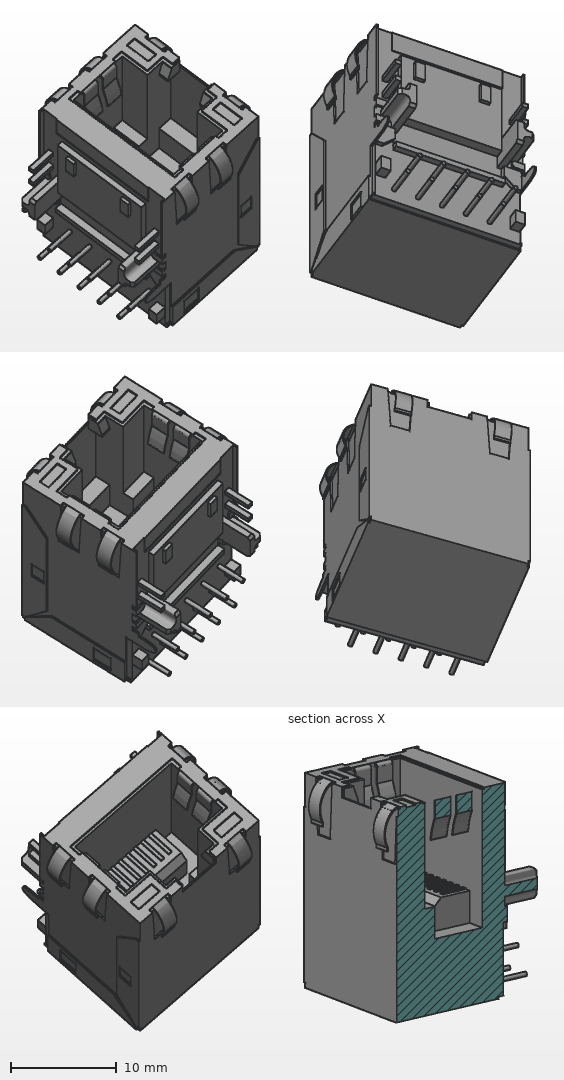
import cadquery as cq
import math

HEIGHT = 21.37
SHEET = 0.2
WING_SHEET = 0.17
SIDE = 7.9
BACK = 13.53
CORE_SIDE = SIDE - SHEET
FACE = 0.45
LOWER_FACE = 0.62
LOWER_FACE_TOP = 8.55
CROSS_BAR_Z = 6.7
CROSS_BAR_HALF = 5.81
RECESS_Z = 7.33
PANEL_Z = 10.55
PANEL_FACE = -0.17
STANDOFF_Y = -0.53
SKIRT_FRONT = 1.25
SKIRT_TOP = 6.88
PIN_TIP = -2.35
POST_TIP = -3.42

CAVITY_HALF = 6.41
CAVITY_FRONT = 3.25
SHOULDER_Y = 10.09
KEYWAY_HALF = 3.18
LATCH_HALF = 2.03
LATCH_RIM_HALF = 2.22
LATCH_LEDGE_Y = 11.71
NIB_Y = 12.22
CAVITY_BACK = BACK - WING_SHEET
FLOOR_Z = 7.48
LEDGE_Z = 10.68
RIM_DEPTH = 0.17

SPRING_WIDTH = 1.67
SPRING_BULGE = 1.18
SPRING_THICK = 0.13
SIDE_SPRING_YS = (7.8, 3.0)
BACK_SPRING_X = 4.98
SPRING_NOTCH_DEPTH = 0.45
SPRING_NOTCH_HALF = 1.25
WINDOW_FOOT_HALF = 0.96
WINDOW_FOOT_Z = 15.7

PIN_PITCH = 2.55
PIN_RADIUS = 0.24
PINS_PER_ROW = 5


def box(x, y, z):
    """Box from its (low, high) limits along each axis."""
    size = (x[1] - x[0], y[1] - y[0], z[1] - z[0])
    return cq.Workplane("XY").box(*size, centered=False).translate((x[0], y[0], z[0]))


def both_sides(shape):
    """The shape together with its mirror image across X = 0."""
    return shape.union(shape.mirror("YZ"))


def prism_x(points, x):
    """(Y, Z) outline swept between two X positions."""
    return cq.Workplane("YZ").polyline(points).close().extrude(x[1] - x[0]).translate((x[0], 0, 0))


def prism_y(points, y):
    """(X, Z) outline swept between two Y positions."""
    return cq.Workplane("XZ").polyline(points).close().extrude(y[0] - y[1]).translate((0, y[0], 0))


def plastic_body():
    body = box((-CORE_SIDE, CORE_SIDE), (FACE, CAVITY_BACK), (SHEET, HEIGHT))
    step = box((-CORE_SIDE, CORE_SIDE), (FACE, LOWER_FACE), (SHEET, LOWER_FACE_TOP))
    return body.cut(step)


def shield_side():
    """Side wall with folded-tab gaps and a solder spike on its front edge."""
    gap_top = 12.5
    spike_root_z = 8.63
    spike_root_y = -0.25
    spike_top = 8.2
    return (
        cq.Workplane("YZ")
        .moveTo(BACK, 0)
        .lineTo(BACK, HEIGHT)
        .lineTo(0, HEIGHT)
        .lineTo(0, gap_top)
        .lineTo(FACE, gap_top)
        .lineTo(FACE, spike_root_z)
        .lineTo(spike_root_y, spike_root_z)
        .lineTo(spike_root_y, spike_top)
        .lineTo(-1.1, spike_top)
        .lineTo(-1.97, 8.05)
        .threePointArc((PIN_TIP, 7.59), (-2.1, 7.1))
        .lineTo(-1.25, SKIRT_TOP)
        .lineTo(SKIRT_FRONT, SKIRT_TOP)
        .lineTo(SKIRT_FRONT, 0)
        .close()
        .extrude(SHEET)
        .translate((CORE_SIDE, 0, 0))
    )


def front_tab(z):
    """Round-ended shield tab folded in front of the plastic body."""
    tab_end = 6.55
    end_radius = 0.32
    tab = box((tab_end, SIDE), (0, SHEET), z)
    wall = box((CORE_SIDE, SIDE), (0, FACE), z)
    return wall.union(tab.edges("|Y and <X").fillet(end_radius))


def shield_wings():
    """Flaps folded from the back and bottom plates onto the side wall."""
    x = (SIDE, SIDE + WING_SHEET)
    corner_y = BACK - 0.36
    corner_z = 0.51
    back_wing_y = 10.58
    back_wing_top = 17.95
    bottom_wing_z = 3.05
    back_wing = prism_x(
        [(BACK, corner_z), (BACK, back_wing_top), (corner_y, back_wing_top), (back_wing_y, 14.98),
         (back_wing_y, 3.5), (corner_y, corner_z)], x)
    bottom_wing = prism_x(
        [(corner_y, 0), (corner_y, 0.45), (10.05, bottom_wing_z), (SKIRT_FRONT, bottom_wing_z),
         (SKIRT_FRONT, 0)], x)
    back_window = box(x, (10.88, 12.42), (7.65, 9.5))
    bottom_window = box(x, (2.88, 5.0), (0.43, 2.29))
    return back_wing.cut(back_window).union(bottom_wing).cut(bottom_window)


def shield():
    latch_gap = box((-LATCH_RIM_HALF, LATCH_RIM_HALF), (CAVITY_BACK, BACK), (20.3, HEIGHT))
    back = box((-SIDE, SIDE), (CAVITY_BACK, BACK), (0, HEIGHT)).cut(latch_gap)
    bottom = box((-SIDE, SIDE), (SKIRT_FRONT, BACK), (0, SHEET))
    foot = box((CORE_SIDE, SIDE), (LOWER_FACE, SKIRT_FRONT), (SHEET, 0.43))
    side = shield_side().union(shield_wings()).union(foot)
    for z in ((11.18, 12.05), (9.17, 9.95)):
        side = side.union(front_tab(z))
    return back.union(bottom).union(both_sides(side))


def cavity():
    main = box((-CAVITY_HALF, CAVITY_HALF), (CAVITY_FRONT, SHOULDER_Y), (FLOOR_Z, HEIGHT))
    keyway = box((-KEYWAY_HALF, KEYWAY_HALF), (CAVITY_FRONT, CAVITY_BACK), (FLOOR_Z, HEIGHT))
    shoulder_ledge = box((KEYWAY_HALF, CAVITY_HALF), (8.9, SHOULDER_Y), (FLOOR_Z, LEDGE_Z))
    latch_ledge = box((-KEYWAY_HALF, KEYWAY_HALF), (LATCH_LEDGE_Y, CAVITY_BACK), (FLOOR_Z, LEDGE_Z))
    nib_bottom = 19.5
    nib = prism_x(
        [(CAVITY_BACK, HEIGHT), (NIB_Y, HEIGHT), (NIB_Y, 21.07), (LATCH_LEDGE_Y, 19.75),
         (LATCH_LEDGE_Y, nib_bottom), (CAVITY_BACK, nib_bottom)], (LATCH_HALF, KEYWAY_HALF))
    solid_parts = both_sides(shoulder_ledge.union(nib)).union(latch_ledge)
    return main.union(keyway).cut(solid_parts)


def cavity_rim():
    """Shallow step around the opening, interrupted beside the inner springs."""
    z = (HEIGHT - RIM_DEPTH, HEIGHT)
    rim_half = 6.77
    rim_front = 2.97
    rim_shoulder = 10.39
    front = box((0, rim_half), (rim_front, 4.2), z)
    shoulder = box((0, rim_half), (9.15, rim_shoulder), z)
    keyway = box((0, 3.46), (rim_shoulder, 12.57), z)
    latch = box((0, LATCH_RIM_HALF), (rim_shoulder, CAVITY_BACK), z)
    return both_sides(front.union(shoulder).union(keyway).union(latch))


def contact_block():
    """Ramp-topped block carrying the row of contact strips."""
    half = 4.32
    back = 7.44
    ramp = 0.73
    block = prism_x(
        [(CAVITY_FRONT, FLOOR_Z), (back, FLOOR_Z), (back, LEDGE_Z - ramp), (back - ramp, LEDGE_Z),
         (CAVITY_FRONT, LEDGE_Z)], (-half, half))
    strip_count = 8
    strip_pitch = 1.0
    strip_half = 0.203
    strip_back = 6.03
    strip_rise = 0.13
    for i in range(strip_count):
        x = (i - (strip_count - 1) / 2) * strip_pitch
        strip = box((x - strip_half, x + strip_half), (CAVITY_FRONT, strip_back),
                    (LEDGE_Z, LEDGE_Z + strip_rise))
        block = block.union(strip)
    return block


def inner_spring(y):
    """Thin contact leaf hung from the cavity wall, bent toward the middle at its free end."""
    thick = 0.13
    crown_z = 21.33
    leaf_x = 6.05
    crown_rise = 0.36
    crown_round = 0.1
    bends = [(leaf_x, 19.35), (5.88, 18.91), (5.62, 18.12), (5.43, 17.1)]
    back_of_bends = [(x + thick, z) for x, z in reversed(bends)]
    return (
        cq.Workplane("XZ")
        .moveTo(CAVITY_HALF, crown_z)
        .threePointArc((leaf_x + crown_round, crown_z - crown_round), (leaf_x, crown_z - crown_rise))
        .polyline(bends + back_of_bends, includeCurrent=True)
        .lineTo(leaf_x + thick, crown_z - crown_rise)
        .lineTo(CAVITY_HALF, crown_z - crown_rise)
        .close()
        .extrude(y[0] - y[1])
        .translate((0, y[0], 0))
    )


def light_pipe_recess():
    return box((4.12, 6.88), (11.25, 12.33), (HEIGHT - RIM_DEPTH, HEIGHT))


def spring_window():
    notch = box((-SPRING_NOTCH_DEPTH, 0), (-SPRING_NOTCH_HALF, SPRING_NOTCH_HALF),
                (HEIGHT - RIM_DEPTH, HEIGHT))
    window = prism_x(
        [(-SPRING_NOTCH_HALF, HEIGHT), (SPRING_NOTCH_HALF, HEIGHT),
         (WINDOW_FOOT_HALF, WINDOW_FOOT_Z), (-WINDOW_FOOT_HALF, WINDOW_FOOT_Z)], (-SHEET, 0))
    return notch.union(window)


def spring():
    """Leaf rising straight out of the notch, then bowed, with a short straight tail."""
    radius = 3.0
    center_x = SPRING_BULGE - radius
    center_z = 18.78
    bow_x = 0.09
    root = (-SPRING_NOTCH_DEPTH, 21.35)
    root_depth = 0.21
    tail_z = 17.45
    foot_z = 17.07

    def at_x(r, x):
        return (x, center_z + math.sqrt(r ** 2 - (x - center_x) ** 2))

    def at_z(r, z):
        return (center_x + math.sqrt(r ** 2 - (z - center_z) ** 2), z)

    inner = radius - SPRING_THICK
    tail_outer = at_z(radius, tail_z)
    tail_inner = at_z(inner, tail_z)
    return (
        cq.Workplane("XZ")
        .moveTo(*root)
        .lineTo(*at_x(radius, bow_x))
        .threePointArc((SPRING_BULGE, center_z), tail_outer)
        .lineTo(tail_outer[0], foot_z)
        .lineTo(tail_inner[0], foot_z)
        .lineTo(*tail_inner)
        .threePointArc((SPRING_BULGE - SPRING_THICK, center_z), at_x(inner, bow_x))
        .lineTo(root[0], root[1] - root_depth)
        .close()
        .extrude(SPRING_WIDTH / 2, both=True)
    )


def at_all_springs(shape):
    """Copies of a wall feature at the side and back spring places."""
    placed = shape.rotate((0, 0, 0), (0, 0, 1), 90).translate((BACK_SPRING_X, BACK, 0))
    for y in SIDE_SPRING_YS:
        placed = placed.union(shape.translate((SIDE, y, 0)))
    return both_sides(placed)


def front_panels():
    top_pad = box((-6.05, 5.73), (0.36, FACE), (19.1, HEIGHT))
    panel = box((-5.36, 5.36), (PANEL_FACE, FACE), (PANEL_Z, 18.34))
    cross_bar = box((-CROSS_BAR_HALF, CROSS_BAR_HALF), (0, LOWER_FACE), (CROSS_BAR_Z, RECESS_Z))
    nub = box((2.97, 4.0), (STANDOFF_Y, PANEL_FACE), (15.81, 17.85))
    corner_pad = prism_y(
        [(CROSS_BAR_HALF, 9.08), (7.65, 9.08), (7.65, CROSS_BAR_Z), (7.0, CROSS_BAR_Z),
         (CROSS_BAR_HALF, 7.82)], (0.2, LOWER_FACE))
    return top_pad.union(panel).union(cross_bar).union(both_sides(nub.union(corner_pad)))


def front_recess():
    return box((-CROSS_BAR_HALF, CROSS_BAR_HALF), (FACE, 0.8), (RECESS_Z, PANEL_Z))


def locating_post():
    """T-section post whose arm blends into its spine, bevelled at the tip."""
    spine = (5.36, 6.07)
    arm_tip = 7.22
    low, high = 9.17, 12.14
    arm_low, arm_high = 10.21, 10.95
    bevel = 0.3
    blend_radius = 0.51
    corner_radius = 0.17
    reach = 0.02
    section = (
        cq.Workplane("XZ")
        .polyline([(spine[0], low), (spine[1], low), (spine[1], arm_low), (arm_tip, arm_low),
                   (arm_tip, arm_high), (spine[1], arm_high), (spine[1], high), (spine[0], high)])
        .close()
    )
    root_y = 0.85
    post = section.extrude(root_y - POST_TIP).translate((0, root_y, 0))
    post = post.edges("|Y and >Z").edges(">X").fillet(corner_radius)
    for z in (arm_low, arm_high):
        inner_corner = cq.selectors.BoxSelector(
            (spine[1] - reach, POST_TIP, z - reach), (spine[1] + reach, root_y, z + reach))
        post = post.edges(inner_corner).fillet(blend_radius)
    envelope = box((spine[0], arm_tip), (POST_TIP, root_y), (low, high))
    bevelled = envelope.faces("<Y").edges("<Z or >Z or >X").chamfer(bevel)
    return post.intersect(bevelled)


def round_pins():
    """Two rows of round pins, staggered by half a pitch and rooted in the body."""
    root_y = LOWER_FACE + 0.21
    pins = cq.Workplane("XZ")
    for z, offset in ((4.23, PIN_PITCH / 4), (1.69, -PIN_PITCH / 4)):
        for i in range(PINS_PER_ROW):
            x = (i - (PINS_PER_ROW - 1) / 2) * PIN_PITCH + offset
            pin = (
                cq.Workplane("XZ").center(x, z).circle(PIN_RADIUS)
                .extrude(root_y - PIN_TIP).translate((0, root_y, 0))
            )
            pins = pins.add(pin)
    return pins.combine()


def square_pins():
    x = (6.48, 7.05)
    upper = box(x, (PIN_TIP, FACE), (14.9, 15.39))
    lower = box(x, (PIN_TIP, FACE), (12.8, 13.35))
    return both_sides(upper.union(lower))


def standoffs():
    y = (STANDOFF_Y, LOWER_FACE)
    left = box((-7.65, -6.65), y, (2.8, 4.3))
    right = box((6.65, 7.65), y, (1.75, 3.25))
    return left.union(right)


result = plastic_body().union(shield())
result = result.cut(cavity()).cut(cavity_rim()).cut(both_sides(light_pipe_recess()))
result = result.cut(at_all_springs(spring_window())).cut(front_recess())
result = result.union(contact_block())
for spring_y in ((6.99, 8.9), (4.42, 6.28)):
    result = result.union(both_sides(inner_spring(spring_y)))
result = result.union(at_all_springs(spring()))
result = result.union(front_panels()).union(both_sides(locating_post()))
result = result.union(round_pins()).union(square_pins()).union(standoffs())